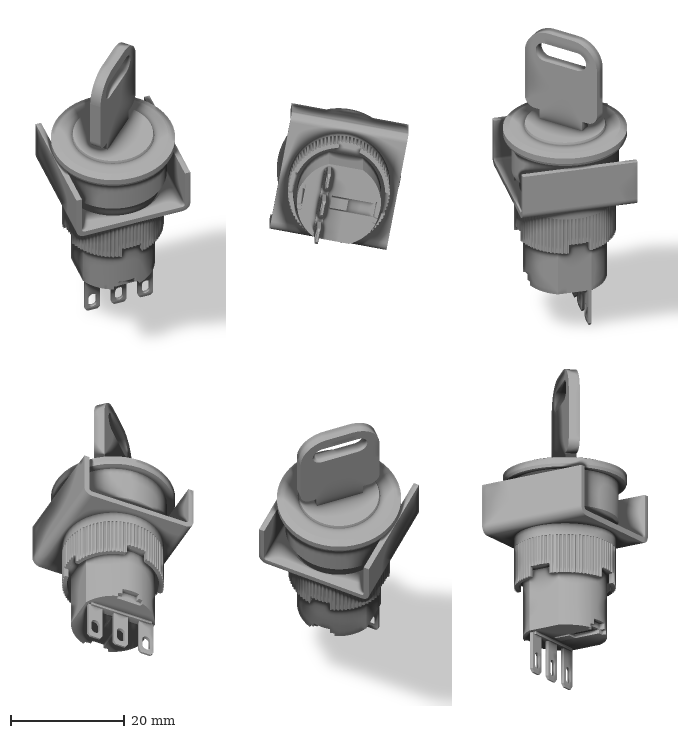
import cadquery as cq


overall_height = 56.4

bezel_radius = 11.0
bezel_face_radius = 9.8
bezel_foot_radius = 10.8
bezel_foot_height = 0.5
bezel_rim_top = 1.6
bezel_top = 2.08
barrel_radius = 9.5
barrel_bottom = -6.75
neck_radius = 8.15
neck_top = -7.5

lock_base_radius = 7.3
lock_face_radius = 7.1
lock_height = 0.5
lock_top = bezel_top + lock_height
dot_radius = 1.25
dot_depth = 0.3
dot_offset = 2.5

key_width = 14.8
key_thickness = 2.0
key_top = 20.5
key_shoulder = 4.5
key_top_radius = 5.0
key_bottom_radius = 2.0
key_shank_width = 8.7
key_hole_length = 10.3
key_hole_height = 3.6
key_hole_center = 16.45
key_turn = -45.0
key_shift = (-0.21, 0.07)

bracket_length = 21.0
bracket_width = 21.4
bracket_sheet = 1.0
bracket_top = -1.0
bracket_bottom = -10.0
bracket_outer_bend = 1.5
bracket_inner_bend = bracket_outer_bend - bracket_sheet
bracket_hole_radius = 8.9

nut_radius = 9.0
nut_top = bracket_bottom
nut_bottom = -19.05
knurl_top = -12.0
knurl_count = 82
knurl_groove_radius = 0.2
notch_count = 4
notch_width = 3.85
notch_top = -17.25
notch_turn = 2.4

block_radius = 7.43
block_flat_distance = 6.77
block_top = notch_top
block_bottom = -28.33
window_top = -26.55
window_outer_half_width = 1.7
window_inner_half_width = 1.4
recess_back = 6.4
ledge_top = -27.6
ledge_outer_half_width = 2.5
ledge_inner_half_width = 2.3
channel_width = 2.5
stud_length = 3.0
stud_width = 1.9
stud_protrusion = 0.12
stud_bottom = block_bottom - stud_protrusion
strip_length = 11.8
strip_width = 1.3
strip_height = 0.5
strip_bottom = block_bottom - strip_height

terminal_count = 3
terminal_pitch = 5.0
terminal_x = 2.9
terminal_width = 2.8
terminal_thickness = 0.6
terminal_shoulder_gap = 0.27
terminal_top = block_bottom - terminal_shoulder_gap
terminal_bottom = key_top - overall_height
terminal_corner = 0.45
terminal_bevel_height = 0.65
terminal_bevel_depth = 0.13
terminal_hole_length = 2.95
terminal_hole_width = 1.5
terminal_hole_height = 2.4
terminal_hole_center = terminal_bottom + terminal_hole_height


def cylinder(radius, bottom, top):
    return cq.Workplane("XY").workplane(offset=bottom).circle(radius).extrude(top - bottom)


def block(length, width, bottom, top):
    return cq.Workplane("XY").workplane(offset=bottom).rect(length, width).extrude(top - bottom)


def build_housing():
    profile = [
        (0, bezel_top),
        (bezel_face_radius, bezel_top),
        (bezel_radius, bezel_rim_top),
        (bezel_radius, bezel_foot_height),
        (bezel_foot_radius, 0),
        (barrel_radius, 0),
        (barrel_radius, barrel_bottom),
        (neck_radius, neck_top),
        (neck_radius, block_top),
        (0, block_top),
    ]
    return cq.Workplane("XZ").polyline(profile).close().revolve(360, (0, 0, 0), (0, 1, 0))


def build_dot():
    return cylinder(dot_radius, lock_top - dot_depth, lock_top).translate((-dot_offset, -dot_offset, 0))


def build_lock(dot):
    profile = [
        (0, bezel_top),
        (lock_base_radius, bezel_top),
        (lock_face_radius, lock_top),
        (0, lock_top),
    ]
    cone = cq.Workplane("XZ").polyline(profile).close().revolve(360, (0, 0, 0), (0, 1, 0))
    return cone.cut(dot)


def build_key():
    head = block(key_width, key_thickness, key_shoulder, key_top)
    head = head.edges("|Y and >Z").fillet(key_top_radius)
    head = head.edges("|Y and <Z").fillet(key_bottom_radius)
    shank = block(key_shank_width, key_thickness, lock_top, key_shoulder)
    hole = (
        cq.Workplane("XZ")
        .center(0, key_hole_center)
        .slot2D(key_hole_length, key_hole_height)
        .extrude(key_thickness, both=True)
    )
    key = head.union(shank).cut(hole)
    return key.rotate((0, 0, 0), (0, 0, 1), key_turn).translate((*key_shift, 0))


def build_bracket():
    outside = block(bracket_length, bracket_width, bracket_bottom, bracket_top)
    outside = outside.edges("|X and <Z").fillet(bracket_outer_bend)
    inner_width = bracket_width - 2 * bracket_sheet
    inside = block(bracket_length, inner_width, bracket_bottom + bracket_sheet, bracket_top)
    inside = inside.edges("|X and <Z").fillet(bracket_inner_bend)
    hole = cylinder(bracket_hole_radius, bracket_bottom, bracket_top)
    return outside.cut(inside).cut(hole)


def build_nut():
    nut = cylinder(nut_radius, nut_bottom, nut_top)
    nut = nut.cut(cylinder(neck_radius, nut_bottom, nut_top))
    grooves = (
        cq.Workplane("XY")
        .workplane(offset=nut_bottom)
        .polarArray(nut_radius, 0, 360, knurl_count)
        .circle(knurl_groove_radius)
        .extrude(knurl_top - nut_bottom)
    )
    nut = nut.cut(grooves)
    notch = block(nut_radius, notch_width, nut_bottom, notch_top).translate((nut_radius, 0, 0))
    for index in range(notch_count):
        turn = notch_turn + index * 360 / notch_count
        nut = nut.cut(notch.rotate((0, 0, 0), (0, 0, 1), turn))
    return nut


def build_recess(outer_half_width, inner_half_width, bottom, top):
    """Pocket in the -X side of the switch block that narrows towards its flat back."""
    outline = [
        (-block_radius, outer_half_width),
        (-recess_back, inner_half_width),
        (-recess_back, -inner_half_width),
        (-block_radius, -outer_half_width),
    ]
    return cq.Workplane("XY").workplane(offset=bottom).polyline(outline).close().extrude(top - bottom)


def build_switch_block():
    body = cylinder(block_radius, block_bottom, block_top)
    body = body.intersect(block(2 * block_radius, 2 * block_flat_distance, block_bottom, block_top))
    window = build_recess(window_outer_half_width, window_inner_half_width, ledge_top, window_top)
    ledge = build_recess(ledge_outer_half_width, ledge_inner_half_width, block_bottom, ledge_top)
    recess = window.union(ledge)
    body = body.cut(recess).cut(recess.mirror("YZ"))
    channel_length = block_radius + stud_length / 2
    channel = block(channel_length, channel_width, block_bottom, ledge_top)
    body = body.cut(channel.translate(((stud_length / 2 - block_radius) / 2, 0, 0)))
    stud = block(stud_length, stud_width, stud_bottom, ledge_top)
    strip = block(strip_width, strip_length, strip_bottom, block_bottom).translate((terminal_x, 0, 0))
    return body.union(stud).union(strip)


def build_terminal(y):
    """Solder blade with bevelled end corners, a thinned tip and an oblong wire hole."""
    half_width = terminal_width / 2
    tip_half_width = half_width - terminal_corner
    bevel_top = terminal_bottom + terminal_bevel_height
    front_outline = [
        (-half_width, terminal_top),
        (half_width, terminal_top),
        (half_width, bevel_top),
        (tip_half_width, terminal_bottom),
        (-tip_half_width, terminal_bottom),
        (-half_width, bevel_top),
    ]
    half_thickness = terminal_thickness / 2
    tip_half_thickness = half_thickness - terminal_bevel_depth
    side_outline = [
        (-half_thickness, terminal_top),
        (half_thickness, terminal_top),
        (half_thickness, bevel_top),
        (tip_half_thickness, terminal_bottom),
        (-tip_half_thickness, terminal_bottom),
        (-half_thickness, bevel_top),
    ]
    blade = cq.Workplane("YZ").polyline(front_outline).close().extrude(half_thickness, both=True)
    taper = cq.Workplane("XZ").polyline(side_outline).close().extrude(half_width, both=True)
    hole = (
        cq.Workplane("YZ")
        .center(0, terminal_hole_center)
        .slot2D(terminal_hole_length, terminal_hole_width, 90)
        .extrude(half_thickness, both=True)
    )
    return blade.intersect(taper).cut(hole).translate((terminal_x, y, 0))


housing = build_housing()
dot = build_dot()
lock = build_lock(dot)
key = build_key()
bracket = build_bracket()
nut = build_nut()
switch_block = build_switch_block()

terminals = []
for index in range(terminal_count):
    terminal = build_terminal((index - (terminal_count - 1) / 2) * terminal_pitch)
    switch_block = switch_block.cut(terminal)
    terminals.append(terminal)

bodies = [housing, dot, lock, key, bracket, nut, switch_block, *terminals]
result = cq.Compound.makeCompound([body.solids().val() for body in bodies])